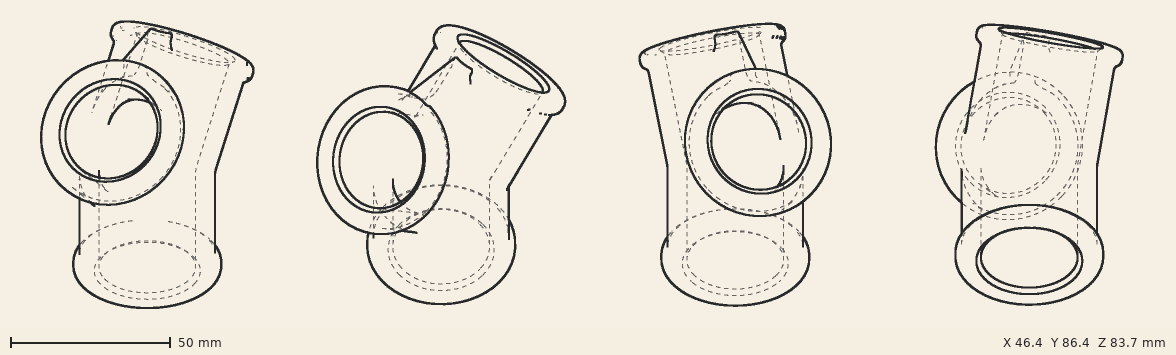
import cadquery as cq
import math

overall_span = 86.4
tube_radius = 21.25
rim_radius = 23.2
rim_length = 5.0
rim_fillet = rim_radius - tube_radius
bore_radius = 30.3 / 2
bore_chamfer = 1.5
stem_length = 40.5
branch_angle = 45
branch_length = math.sqrt(2) * (overall_span / 2 - rim_fillet) - rim_radius + 2 * rim_fillet
junction_fillet = 5.0
blend_reach = 0.98
rib_width = 8.0
rib_top = 42.7
rib_half_length = 11.05
rib_fillet = 0.9

arms = [
    (180, stem_length),
    (branch_angle, branch_length),
    (-branch_angle, branch_length),
]


def aim(shape, angle):
    """Tilt a shape standing on +Z about the X axis."""
    return shape.rotate((0, 0, 0), (1, 0, 0), angle)


def union_of(make_shape):
    """Join one shape per arm, each pointing along its arm."""
    joined = None
    for angle, length in arms:
        shape = aim(make_shape(length), angle)
        joined = shape if joined is None else joined.union(shape)
    return joined


def tube(length):
    return cq.Workplane("XY").circle(tube_radius).extrude(length)


def bore(length):
    return cq.Workplane("XY").circle(bore_radius).extrude(length)


def rim(length):
    """Rounded bead at the mouth, running into the tube through a concave fillet."""
    bead_center = length - rim_length + rim_fillet
    half_rise = rim_fillet * math.cos(math.radians(30))
    half_step = rim_fillet / 2
    round_off = rim_fillet * math.sqrt(0.5)
    profile = (
        cq.Workplane("XZ")
        .moveTo(0, bead_center - 2 * half_rise)
        .lineTo(tube_radius, bead_center - 2 * half_rise)
        .radiusArc((tube_radius + half_step, bead_center - half_rise), rim_fillet)
        .radiusArc((rim_radius, bead_center), -rim_fillet)
        .lineTo(rim_radius, length - rim_fillet)
        .threePointArc(
            (tube_radius + round_off, length - rim_fillet + round_off),
            (tube_radius, length),
        )
        .lineTo(0, length)
        .close()
    )
    return profile.revolve(360, (0, 0, 0), (0, 1, 0))


def mouth_chamfer(length):
    return (
        cq.Workplane("XY", origin=(0, 0, length - bore_chamfer))
        .circle(bore_radius)
        .workplane(offset=bore_chamfer)
        .circle(bore_radius + bore_chamfer)
        .loft(ruled=True)
    )


def rib():
    """Web in the fork between the two branches, between their beads."""
    shoulder = rib_half_length + tube_radius
    return (
        cq.Workplane("YZ")
        .polyline([
            (0, 0),
            (rib_half_length, shoulder),
            (rib_half_length, rib_top),
            (-rib_half_length, rib_top),
            (-rib_half_length, shoulder),
        ])
        .close()
        .extrude(rib_width / 2, both=True)
    )


def blended_arms(make_shape, radius):
    """Join the arms and round the creases where they meet.

    The creases flatten out at the two points where all arms touch, so the
    fillets are made on a core cut off just short of these points.
    """
    joined = union_of(make_shape)
    core_width = 2 * radius * blend_reach
    core_size = 4 * stem_length
    core = joined.intersect(cq.Workplane("XY").box(core_width, core_size, core_size))
    return joined.union(core.edges("%ELLIPSE").fillet(junction_fillet))


def round_rib_sides(shape):
    """Round the whole border of both rib flanks, along the top and at the foot."""
    for side in (-1, 1):
        near_flank = (side * rib_width / 2, 0, rib_top - rib_width / 2)
        flank = shape.faces("|X").faces(cq.selectors.NearestToPointSelector(near_flank))
        shape = flank.edges("not(|Z)").fillet(rib_fillet)
    return shape


outside = round_rib_sides(blended_arms(tube, tube_radius).union(rib())).union(union_of(rim))
inside = blended_arms(bore, bore_radius).union(union_of(mouth_chamfer))
result = outside.cut(inside)